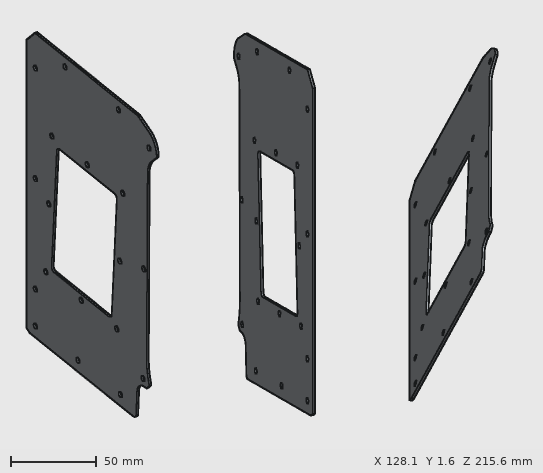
import cadquery as cq
import math

height = 215.7
thickness = 1.6
tilt = 3.5
slope = math.tan(math.radians(tilt))

hole_diameter = 3.5
left_column_x = 8.8
left_column_top_z = 191.5
left_column_pitch = 76.1
bottom_row_start_z = 13.8
bottom_row_pitch = 41.8
top_row_start = (38.0, 207.0)
top_row_pitch = 52.6
right_edge_holes = [(120.5, 192.6), (115.5, 106.8), (114.8, 30.8)]

ring_center = (57.0, 102.5)
window_drop = 0.2
window_width = 59.0
window_height = 87.5
window_corner_radius = 2.5
ring_pitch_x = 35.0
ring_pitch_z = 48.3

top_left_x = 8.5
left_edge_top_z = 206.6
top_right_x = 109.8
top_right_z = height - slope * (top_right_x - top_left_x)
bottom_left_z = 8.2
bottom_left_x = 3.2
bottom_left_bevel_z = 6.3
bottom_right_x = 107.8
bottom_right_z = bottom_left_bevel_z - slope * (bottom_right_x - bottom_left_x)
bottom_right_radius = 2.5

upper_lobe_start = (121.5, 203.5)
upper_lobe_middle = (126.2, 198.2)
upper_lobe_tip = (128.1, 189.8)
upper_hollow_start = (124.9, 186.4)
upper_hollow_middle = (121.0, 181.6)
upper_hollow_end = (119.3, 175.4)

flare_start = (118.5, 44.2)
flare_middle = (119.0, 37.0)
lower_lobe_tip = (121.0, 29.1)
lower_lobe_bottom_z = 25.9
lower_lobe_bottom_x = 118.5
lower_hollow_start_x = 115.6
lower_hollow_middle = (110.9, 23.7)
lower_hollow_end = (109.0, 19.5)
lower_lobe_radius = 0.9


def round_corner(plate, corner, radius):
    """Fillet the through-thickness edge at an outline corner."""
    edge_middle = (corner[0], thickness / 2, corner[1])
    return plate.edges(cq.selectors.NearestToPointSelector(edge_middle)).fillet(radius)


def make_plate():
    """Plate with a lobe at each end of its right edge."""
    outline = (
        cq.Workplane("XZ")
        .moveTo(0, left_edge_top_z)
        .lineTo(top_left_x, height)
        .lineTo(top_right_x, top_right_z)
        .lineTo(*upper_lobe_start)
        .threePointArc(upper_lobe_middle, upper_lobe_tip)
        .lineTo(*upper_hollow_start)
        .threePointArc(upper_hollow_middle, upper_hollow_end)
        .lineTo(*flare_start)
        .threePointArc(flare_middle, lower_lobe_tip)
        .lineTo(lower_lobe_bottom_x, lower_lobe_bottom_z)
        .lineTo(lower_hollow_start_x, lower_lobe_bottom_z)
        .threePointArc(lower_hollow_middle, lower_hollow_end)
        .lineTo(bottom_right_x, bottom_right_z)
        .lineTo(bottom_left_x, bottom_left_bevel_z)
        .lineTo(0, bottom_left_z)
        .close()
    )
    plate = outline.extrude(-thickness)
    plate = round_corner(plate, (bottom_right_x, bottom_right_z), bottom_right_radius)
    return round_corner(plate, lower_lobe_tip, lower_lobe_radius)


def make_window():
    """Round-cornered window cutter, tilted with the plate edges."""
    return (
        cq.Workplane("XZ")
        .center(ring_center[0], ring_center[1] - window_drop)
        .transformed(rotate=(0, 0, -tilt))
        .rect(window_width, window_height)
        .extrude(-thickness)
        .edges("|Y")
        .fillet(window_corner_radius)
    )


def window_ring_points():
    """Eight points of a tilted 3 x 3 grid, without its center."""
    cosine = math.cos(math.radians(tilt))
    sine = math.sin(math.radians(tilt))
    points = []
    for column in (-1, 0, 1):
        for row in (-1, 0, 1):
            if column == 0 and row == 0:
                continue
            across = column * ring_pitch_x
            along = row * ring_pitch_z
            x = ring_center[0] + across * cosine + along * sine
            z = ring_center[1] - across * sine + along * cosine
            points.append((x, z))
    return points


def sloped_row(start, pitch, count):
    """Points that step along X and fall with the edge slope."""
    return [(start[0] + i * pitch, start[1] - i * pitch * slope) for i in range(count)]


left_column = [(left_column_x, left_column_top_z - i * left_column_pitch) for i in range(3)]
bottom_row = sloped_row((left_column_x, bottom_row_start_z), bottom_row_pitch, 3)
top_row = sloped_row(top_row_start, top_row_pitch, 2)
hole_points = left_column + bottom_row + top_row + right_edge_holes + window_ring_points()

holes = cq.Workplane("XZ").pushPoints(hole_points).circle(hole_diameter / 2).extrude(-thickness)

result = make_plate().cut(make_window()).cut(holes)